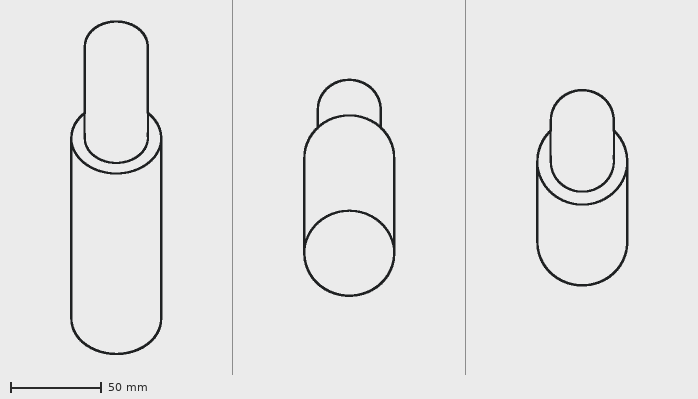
import cadquery as cq

total_height = 245.0
body_diameter = 50.0
body_height = 162.0
pin_diameter = 35.0
tip_radius = 1.0

pin_height = total_height - body_height

body = cq.Workplane("XY").circle(body_diameter / 2).extrude(body_height)

pin = (
    cq.Workplane("XY")
    .workplane(offset=body_height)
    .circle(pin_diameter / 2)
    .extrude(pin_height)
    .faces(">Z")
    .fillet(tip_radius)
)

result = body.union(pin)